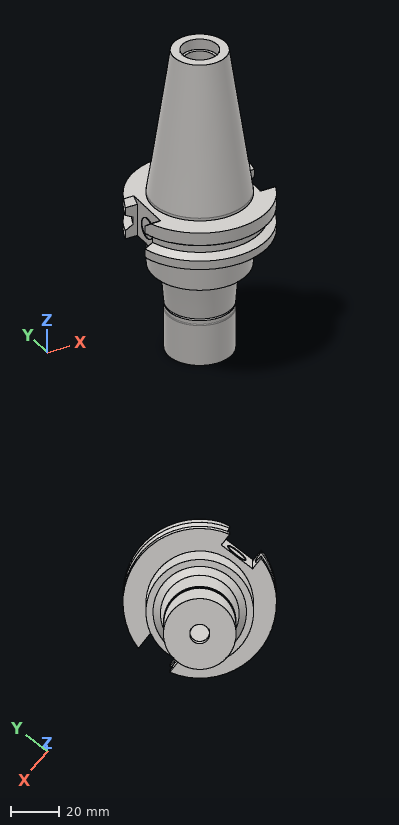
import cadquery as cq
import math


gauge_dia = 44.45
taper_length = 68.25
taper_ratio = 7 / 24
shank_top_dia = gauge_dia - taper_length * taper_ratio

flange_dia = 63.5
flange_top_z = -1.3
flange_bottom_z = -19.05
groove_center_z = -11.18
groove_floor_dia = 56.36
groove_floor_width = 3.4
groove_half_angle = math.radians(30)
groove_depth = (flange_dia - groove_floor_dia) / 2
groove_floor_half = groove_floor_width / 2
groove_mouth_half = groove_floor_half + groove_depth * math.tan(groove_half_angle)

body_dia = gauge_dia
body_bottom_z = -35.05
shoulder_top_dia = 38.6
shoulder_height = 3.05
shoulder_bottom_z = body_bottom_z - shoulder_height
nose_top_dia = shoulder_top_dia - 2 * shoulder_height
nose_bottom_dia = 30.0
nose_bottom_z = -53.5
neck_dia = 22.5

nut_dia = nose_bottom_dia
nut_gap = 0.9
nut_top_z = nose_bottom_z - nut_gap
nut_length = 21.8
nut_bottom_z = nut_top_z - nut_length
nut_rim_dia = 29.7
nut_rim_height = 1.8
nut_rim_chamfer_height = 0.5
nut_hole_dia = 8.2
nut_floor_thickness = 4.0
neck_bottom_z = nut_bottom_z + nut_floor_thickness

pilot_dia = 16.4
pilot_depth = 5.0
thread_hole_dia = 13.8
thread_hole_depth = 30.0
through_bore_dia = 10.2

slot_width = 16.35
slot_chamfer_width = 3.0
slot_chamfer_height = 2.5
left_slot_floor_x = -25.0
right_slot_floor_x = 22.6

recess_dia = 9.5
recess_depth = 0.3


def cylinder(diameter, top_z, bottom_z):
    """Upright cylinder on the Z axis between two heights."""
    return cq.Workplane("XY", origin=(0, 0, bottom_z)).circle(diameter / 2).extrude(top_z - bottom_z)


def revolve_profile(dia_z_points):
    """Solid of revolution: outer (diameter, z) points closed along the Z axis."""
    top_z = dia_z_points[0][1]
    bottom_z = dia_z_points[-1][1]
    outer = [(dia / 2, z) for dia, z in dia_z_points]
    outline = [(0, top_z)] + outer + [(0, bottom_z)]
    return cq.Workplane("XZ").polyline(outline).close().revolve(360, (0, 0, 0), (0, 1, 0))


def holder_blank():
    """Turned outside of the holder, from the taper down to the neck inside the nut."""
    return revolve_profile([
        (shank_top_dia, taper_length),
        (gauge_dia, 0),
        (gauge_dia, flange_top_z),
        (flange_dia, flange_top_z),
        (flange_dia, groove_center_z + groove_mouth_half),
        (groove_floor_dia, groove_center_z + groove_floor_half),
        (groove_floor_dia, groove_center_z - groove_floor_half),
        (flange_dia, groove_center_z - groove_mouth_half),
        (flange_dia, flange_bottom_z),
        (body_dia, flange_bottom_z),
        (body_dia, body_bottom_z),
        (shoulder_top_dia, body_bottom_z),
        (nose_top_dia, shoulder_bottom_z),
        (nose_bottom_dia, nose_bottom_z),
        (neck_dia, nose_bottom_z),
        (neck_dia, neck_bottom_z),
    ])


def drive_slot(floor_x):
    """Cutter for one slot, running from its floor outward past the flange rim."""
    side = math.copysign(1, floor_x)
    half = slot_width / 2
    half_at_top = half + slot_chamfer_width
    chamfer_z = flange_top_z - slot_chamfer_height
    outline = [
        (-half, flange_bottom_z),
        (-half, chamfer_z),
        (-half_at_top, flange_top_z),
        (half_at_top, flange_top_z),
        (half, chamfer_z),
        (half, flange_bottom_z),
    ]
    reach = side * (flange_dia / 2)
    return cq.Workplane("YZ", origin=(floor_x, 0, 0)).polyline(outline).close().extrude(reach)


def slot_recess():
    """Cutter for the shallow recess in the left slot floor, level with the V-groove."""
    floor_center = (left_slot_floor_x, 0, groove_center_z)
    return cq.Workplane("YZ", origin=floor_center).circle(recess_dia / 2).extrude(recess_depth)


def make_holder():
    """Tapered holder with drive slots and stepped bore."""
    holder = holder_blank()
    for floor_x in (left_slot_floor_x, right_slot_floor_x):
        holder = holder.cut(drive_slot(floor_x))
    holder = holder.cut(slot_recess())
    holder = holder.cut(cylinder(pilot_dia, taper_length, taper_length - pilot_depth))
    holder = holder.cut(cylinder(thread_hole_dia, taper_length, taper_length - thread_hole_depth))
    return holder.cut(cylinder(through_bore_dia, taper_length, neck_bottom_z))


def make_nut():
    """Cup-shaped nut around the neck, with a slightly reduced rim and a hole in its floor."""
    rim_bottom_z = nut_top_z - nut_rim_height
    nut = revolve_profile([
        (nut_rim_dia, nut_top_z),
        (nut_rim_dia, rim_bottom_z),
        (nut_dia, rim_bottom_z - nut_rim_chamfer_height),
        (nut_dia, nut_bottom_z),
    ])
    nut = nut.cut(cylinder(neck_dia, nut_top_z, neck_bottom_z))
    return nut.cut(cylinder(nut_hole_dia, neck_bottom_z, nut_bottom_z))


holder = make_holder()
nut = make_nut()
result = cq.Compound.makeCompound([holder.val(), nut.val()])